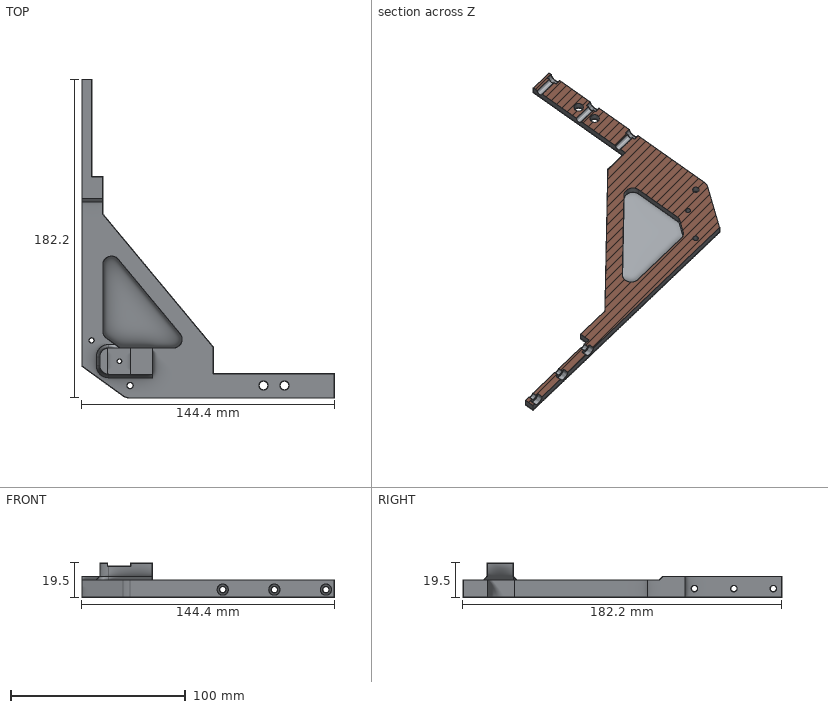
import cadquery as cq
import math

LENGTH_X = 144.4
LENGTH_Y = 182.21
PLATE_HEIGHT = 10.0
ARM_HEIGHT = 12.0
BOSS_HEIGHT = 19.5

X_ARM_WIDTH = 14.0
Y_ARM_WIDTH = 12.0
Y_ARM_THIN_WIDTH = 5.8
Y_ARM_THIN_START = 126.7
WEB_END_X = 75.2
WEB_END_Y = 29.2
WEB_TOP_Y = 105.3
CORNER_CUT_X = 25.3
CORNER_CUT_Y = 18.3
CORNER_RADIUS = 7.0
RAMP_TOP_Y = 114.1

POCKET_FLOOR = 0.5
POCKET_LEFT = Y_ARM_WIDTH
POCKET_BOTTOM = 28.65
POCKET_WEB = 9.75
POCKET_CUT_X = 21.9
POCKET_RADIUS = 5.0

BOSS_LEFT = 10.3
BOSS_RIGHT = 40.4
BOSS_WIDTH = 15.0
BOSS_TOP_Y = POCKET_BOTTOM
BOSS_BOTTOM = BOSS_TOP_Y - BOSS_WIDTH
BOSS_RADIUS = 5.0
FOOT_SIZE = 2.0
RECESS_LEFT = 14.8
RECESS_RIGHT = 27.9
RECESS_DEPTH = 1.6

BOSS_HOLE = (21.5, 21.1, 2.5)
PLATE_HOLES = [(5.6, 33.0, 2.8), (27.6, 7.2, 3.4)]
X_ARM_HOLES = [(103.9, 7.2, 5.0), (115.9, 7.2, 5.0)]

X_ARM_HOLE_Z = 4.4
Y_ARM_HOLE_Z = 5.0
CROSS_HOLE_DIAMETER = 3.5
CROSS_BORE_DIAMETER = 6.4
CROSS_BORE_DEPTH = 3.2
CROSS_HOLE_COUNT = 3
X_ARM_FIRST_HOLE = 80.6
X_ARM_HOLE_PITCH = 29.5
Y_ARM_FIRST_HOLE = 132.2
Y_ARM_HOLE_PITCH = 22.55


def make_body():
    """Plate with both arms, with a sloped step up to the Y arm."""
    outline = [
        (CORNER_CUT_X, 0),
        (LENGTH_X, 0),
        (LENGTH_X, X_ARM_WIDTH),
        (WEB_END_X, X_ARM_WIDTH),
        (WEB_END_X, WEB_END_Y),
        (Y_ARM_WIDTH, WEB_TOP_Y),
        (Y_ARM_WIDTH, Y_ARM_THIN_START),
        (Y_ARM_THIN_WIDTH, Y_ARM_THIN_START),
        (Y_ARM_THIN_WIDTH, LENGTH_Y),
        (0, LENGTH_Y),
        (0, CORNER_CUT_Y),
    ]
    body = cq.Workplane("XY").polyline(outline).close().extrude(ARM_HEIGHT)
    cut_corner = cq.selectors.NearestToPointSelector((CORNER_CUT_X, 0, ARM_HEIGHT / 2))
    body = body.edges(cut_corner).fillet(CORNER_RADIUS)
    step = ARM_HEIGHT - PLATE_HEIGHT
    side_profile = [
        (0, 0),
        (LENGTH_Y, 0),
        (LENGTH_Y, ARM_HEIGHT),
        (RAMP_TOP_Y, ARM_HEIGHT),
        (RAMP_TOP_Y - step, PLATE_HEIGHT),
        (0, PLATE_HEIGHT),
    ]
    return body.intersect(cq.Workplane("YZ").polyline(side_profile).close().extrude(LENGTH_X))


def boss_outline(height, margin):
    """Boss outline at a height, grown by a margin on all sides but the square right end."""
    left = BOSS_LEFT - margin
    bottom = BOSS_BOTTOM - margin
    top = BOSS_TOP_Y + margin
    radius = BOSS_RADIUS + margin
    return (
        cq.Workplane("XY", origin=(0, 0, height))
        .moveTo(BOSS_RIGHT, bottom)
        .lineTo(BOSS_RIGHT, top)
        .lineTo(left + radius, top)
        .radiusArc((left, top - radius), -radius)
        .lineTo(left, bottom + radius)
        .radiusArc((left + radius, bottom), -radius)
        .close()
    )


def make_boss():
    """Boss with a rounded left end, a recess across its top and a sloped foot."""
    boss = boss_outline(PLATE_HEIGHT, 0).extrude(BOSS_HEIGHT - PLATE_HEIGHT)
    foot_bottom = boss_outline(PLATE_HEIGHT, FOOT_SIZE).val()
    foot_top = boss_outline(PLATE_HEIGHT + FOOT_SIZE, 0).val()
    foot = cq.Workplane(cq.Solid.makeLoft([foot_bottom, foot_top], True))
    recess = (
        cq.Workplane("XY", origin=(RECESS_LEFT, BOSS_BOTTOM, BOSS_HEIGHT - RECESS_DEPTH))
        .rect(RECESS_RIGHT - RECESS_LEFT, BOSS_WIDTH, centered=False)
        .extrude(RECESS_DEPTH)
    )
    return boss.union(foot).cut(recess)


def make_pocket():
    """Triangular pocket parallel to the sloped web edge, one corner cut off."""
    web_slope = (WEB_TOP_Y - WEB_END_Y) / (WEB_END_X - Y_ARM_WIDTH)
    cut_slope = CORNER_CUT_Y / CORNER_CUT_X
    drop = POCKET_WEB * math.hypot(1, web_slope)
    top_y = WEB_TOP_Y - drop
    right_x = POCKET_LEFT + (top_y - POCKET_BOTTOM) / web_slope
    cut_y = POCKET_BOTTOM + cut_slope * (POCKET_CUT_X - POCKET_LEFT)
    rounded_corners = [(right_x, POCKET_BOTTOM), (POCKET_LEFT, top_y), (POCKET_LEFT, cut_y)]
    pocket = (
        cq.Workplane("XY", origin=(0, 0, POCKET_FLOOR))
        .polyline([(POCKET_CUT_X, POCKET_BOTTOM)] + rounded_corners)
        .close()
        .extrude(BOSS_HEIGHT)
    )
    for x, y in rounded_corners:
        corner = cq.selectors.NearestToPointSelector((x, y, POCKET_FLOOR + BOSS_HEIGHT / 2))
        pocket = pocket.edges(corner).fillet(POCKET_RADIUS)
    return pocket


def vertical_hole(x, y, diameter):
    """Cutter for a plain hole through the full height."""
    return cq.Workplane("XY", origin=(x, y, 0)).circle(diameter / 2).extrude(BOSS_HEIGHT)


def cross_hole(start, direction, length):
    """Cutter for a counterbored hole entering an arm from its outer face."""
    origin = cq.Vector(*start)
    axis = cq.Vector(*direction)
    hole = cq.Solid.makeCylinder(CROSS_HOLE_DIAMETER / 2, length, origin, axis)
    bore = cq.Solid.makeCylinder(CROSS_BORE_DIAMETER / 2, CROSS_BORE_DEPTH, origin, axis)
    return cq.Workplane(hole).union(cq.Workplane(bore))


result = make_body().union(make_boss()).cut(make_pocket())

for hole in [BOSS_HOLE] + PLATE_HOLES + X_ARM_HOLES:
    result = result.cut(vertical_hole(*hole))

for i in range(CROSS_HOLE_COUNT):
    hole_x = X_ARM_FIRST_HOLE + i * X_ARM_HOLE_PITCH
    hole_y = Y_ARM_FIRST_HOLE + i * Y_ARM_HOLE_PITCH
    x_arm_start = (hole_x, 0, X_ARM_HOLE_Z)
    y_arm_start = (0, hole_y, Y_ARM_HOLE_Z)
    result = result.cut(cross_hole(x_arm_start, (0, 1, 0), X_ARM_WIDTH))
    result = result.cut(cross_hole(y_arm_start, (1, 0, 0), Y_ARM_WIDTH))